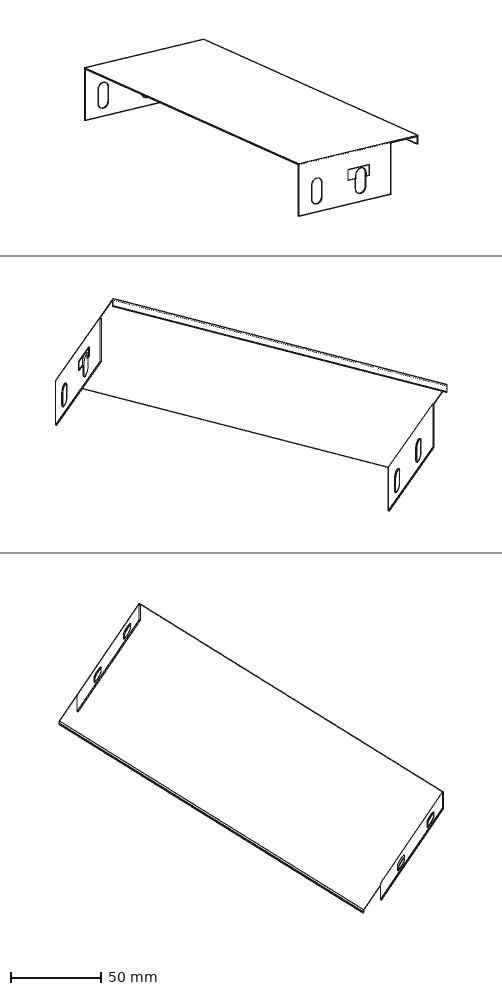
import cadquery as cq

sheet = 0.7
overall_length = 201.5
pad_thickness = 0.5
plate_length = overall_length - pad_thickness
plate_width = 81.8
height = 30.8

flange_width = 63.3
lip_depth = 5.0

slot_width = 7.0
slot_length = 15.1
slot_height = 12.3
first_slot_y = 12.5
slot_spacing = 30.0

pad_width = 14.5
pad_height = 6.2
pad_bottom = 14.3


def box(size, corner):
    return cq.Workplane("XY").box(*size, centered=False).translate(corner)


plate = box((plate_length, plate_width, sheet), (0, 0, height - sheet))

lip = box((plate_length, sheet, lip_depth), (0, plate_width - sheet, height - lip_depth))

cover = plate.union(lip)
for flange_x in (0, plate_length - sheet):
    cover = cover.union(box((sheet, flange_width, height), (flange_x, 0, 0)))

slots = (
    cq.Workplane("YZ")
    .pushPoints([(first_slot_y + i * slot_spacing, slot_height) for i in range(2)])
    .slot2D(slot_length, slot_width, 90)
    .extrude(overall_length)
)
cover = cover.cut(slots)

pad = box(
    (sheet + pad_thickness, pad_width, pad_height),
    (plate_length - sheet, (plate_width - pad_width) / 2, pad_bottom),
)
pad = pad.cut(slots)

result = cover.union(pad)